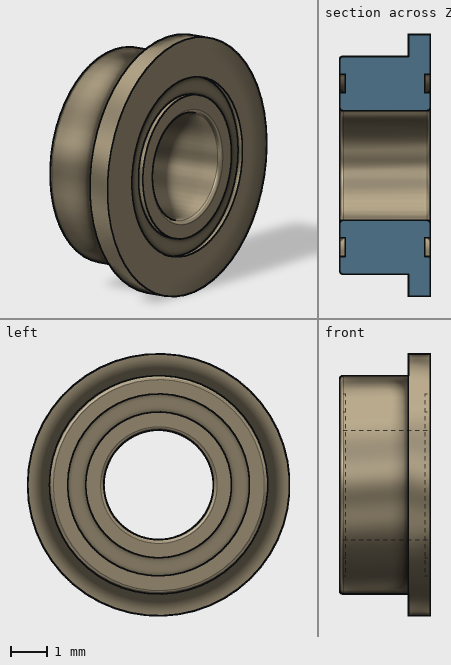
import cadquery as cq

width = 2.5
flange_diameter = 7.2
flange_thickness = 0.605
body_diameter = 6.0
bore_diameter = 3.0
inner_ring_diameter = 4.0
outer_ring_bore = 5.0
recess_depth = 0.15
edge_radius = 0.1


def cylinder(diameter, start, length):
    """Solid cylinder along X, beginning at x = start."""
    return cq.Workplane("YZ", origin=(start, 0, 0)).circle(diameter / 2).extrude(length)


def shield_recess(start):
    """Ring-shaped space between the inner and outer bearing rings."""
    return cylinder(outer_ring_bore, start, recess_depth).cut(
        cylinder(inner_ring_diameter, start, recess_depth)
    )


body = cylinder(body_diameter, 0, width).faces("<X").edges().fillet(edge_radius)
flange = cylinder(flange_diameter, width - flange_thickness, flange_thickness)
bearing = body.union(flange)

bearing = bearing.cut(cylinder(bore_diameter, 0, width))
bore_edges = cq.selectors.RadiusNthSelector(0)
bearing = bearing.faces("<X or >X").edges(bore_edges).fillet(edge_radius)

for recess_start in (0, width - recess_depth):
    bearing = bearing.cut(shield_recess(recess_start))

result = bearing